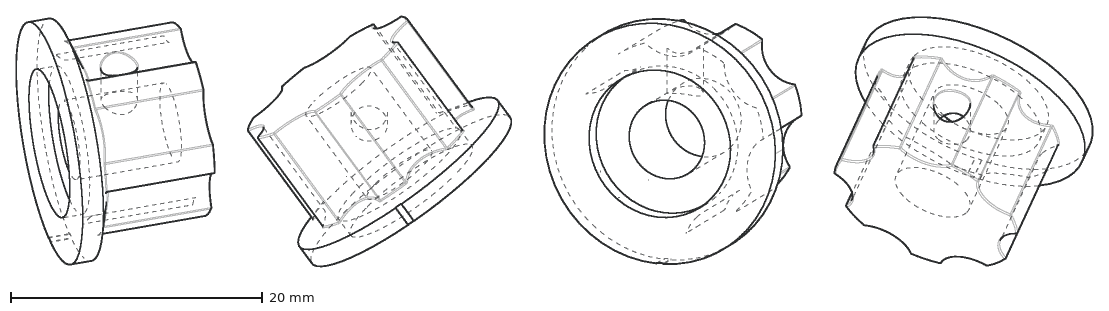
import cadquery as cq
import math

total_length = 11.51
flange_radius = 9.805
flange_thickness = 1.72
cone_end = 2.46
hub_radius = 7.84
flute_count = 7
flute_half_width = 2.2
flute_depth = 1.02
recess_radius = 6.0
recess_depth = 1.63
bore_radius = 3.2
bore_depth = 10.0
screw_hole_radius = 1.45
screw_hole_y = 5.75
index_groove_width = 0.56
index_groove_depth = 0.07
edge_round = 0.12
hole_round = 0.1

flute_mouth = math.sqrt(hub_radius**2 - flute_half_width**2)
flute_radius = (flute_half_width**2 + flute_depth**2) / (2 * flute_depth)
flute_centre = flute_mouth - flute_depth + flute_radius

cone_slope = (cone_end - flange_thickness) / (flange_radius - hub_radius)
cone_top_radius = recess_radius
cone_top = flange_thickness + cone_slope * (flange_radius - cone_top_radius)


def cylinder(radius, start, end):
    """Solid cylinder along Y between two Y positions."""
    profile = cq.Workplane("XZ", origin=(0, start, 0)).circle(radius)
    return profile.extrude(start - end)


def fluted_hub():
    """Hub with evenly spaced flutes, rounded along the lands and around the back face."""
    hub = cylinder(hub_radius, 0, total_length)
    cutter = cylinder(flute_radius, 0, total_length).translate((0, 0, flute_centre))
    for index in range(flute_count):
        angle = index * 360 / flute_count
        hub = hub.cut(cutter.rotate((0, 0, 0), (0, 1, 0), angle))
    return hub.edges("|Y or >Y").fillet(edge_round)


def flange():
    """Flange disc with a conical back that rises into the hub."""
    profile = (
        cq.Workplane("XY")
        .lineTo(flange_radius, 0)
        .lineTo(flange_radius, flange_thickness)
        .lineTo(cone_top_radius, cone_top)
        .lineTo(0, cone_top)
        .close()
    )
    return profile.revolve(360, (0, 0, 0), (0, 1, 0))


def screw_hole():
    """Radial hole from the topmost flute into the bore."""
    profile = cq.Workplane("XY", origin=(0, screw_hole_y, 0)).circle(screw_hole_radius)
    return profile.extrude(hub_radius)


def index_groove():
    """Shallow rectangular groove across the lowest line of the flange rim."""
    profile = cq.Workplane("XZ", origin=(0, 0, -flange_radius))
    return profile.rect(index_groove_width, 2 * index_groove_depth).extrude(-cone_end)


def round_hub_foot(part):
    """Fillet the concave seam where the fluted hub meets the flange cone."""
    foot = cq.selectors.BoxSelector(
        (-hub_radius, cone_end - edge_round, -hub_radius),
        (hub_radius, cone_top + edge_round, hub_radius),
    )
    return part.edges(foot).fillet(edge_round)


def round_screw_hole_mouth(part):
    """Fillet the rim where the radial hole opens into the flute."""
    mouth = cq.selectors.BoxSelector(
        (-screw_hole_radius, screw_hole_y - screw_hole_radius, flute_mouth - flute_depth),
        (screw_hole_radius, screw_hole_y + screw_hole_radius, hub_radius),
    )
    return part.edges(mouth).fillet(hole_round)


body = round_hub_foot(fluted_hub().union(flange()))
body = body.cut(cylinder(recess_radius, 0, recess_depth))
body = body.cut(cylinder(bore_radius, 0, bore_depth))
body = body.cut(index_groove())
result = round_screw_hole_mouth(body.cut(screw_hole()))